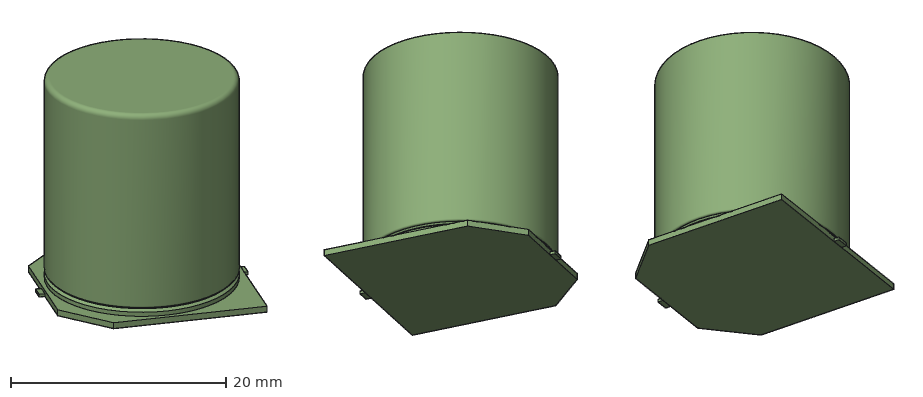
import cadquery as cq

total_height = 21.0
base_width = 19.0
lead_span = 20.1

base_thickness = 0.6
corner_cut = 4.25

can_radius = 9.07
top_edge_radius = 0.5

groove_depth = 0.3
groove_bottom_z = 1.03
groove_floor_z = 1.25
groove_top_z = 1.43
wall_edge_radius = 0.17

lead_width = 1.3
lead_thickness = 0.3
lead_length = (lead_span - base_width) / 2


def make_base():
    """Square plate with the two -Y corners cut off."""
    plate = cq.Workplane("XY").box(base_width, base_width, base_thickness, centered=(True, True, False))
    return plate.edges("|Z and <Y").chamfer(corner_cut)


def make_can():
    """Round can standing on the base, with a rounded top and a crimp groove near its foot."""
    groove_radius = can_radius - groove_depth
    wall_start_z = groove_top_z + wall_edge_radius
    wall_end_z = total_height - top_edge_radius
    arc_inset = 1 - 0.5 ** 0.5
    profile = (
        cq.Workplane("XZ")
        .moveTo(0, base_thickness)
        .lineTo(can_radius, base_thickness)
        .lineTo(can_radius, groove_bottom_z)
        .lineTo(groove_radius, groove_floor_z)
        .lineTo(can_radius - wall_edge_radius, groove_top_z)
        .threePointArc(
            (can_radius - arc_inset * wall_edge_radius, groove_top_z + arc_inset * wall_edge_radius),
            (can_radius, wall_start_z),
        )
        .lineTo(can_radius, wall_end_z)
        .threePointArc(
            (can_radius - arc_inset * top_edge_radius, total_height - arc_inset * top_edge_radius),
            (can_radius - top_edge_radius, total_height),
        )
        .lineTo(0, total_height)
        .close()
    )
    return profile.revolve(360, (0, 0, 0), (0, 1, 0))


def make_housing():
    """Can and base plate as one body."""
    return make_base().union(make_can())


def make_lead(side):
    """Flat tab reaching out from the base; side is -1 for the -Y end and +1 for the +Y end."""
    lead_center_y = side * (base_width + lead_length) / 2
    lead = cq.Workplane("XY").box(lead_width, lead_length, lead_thickness, centered=(True, True, False))
    return lead.translate((0, lead_center_y, 0))


housing = make_housing()
leads = [make_lead(side) for side in (-1, 1)]

result = cq.Compound.makeCompound([housing.val(), *[lead.val() for lead in leads]])